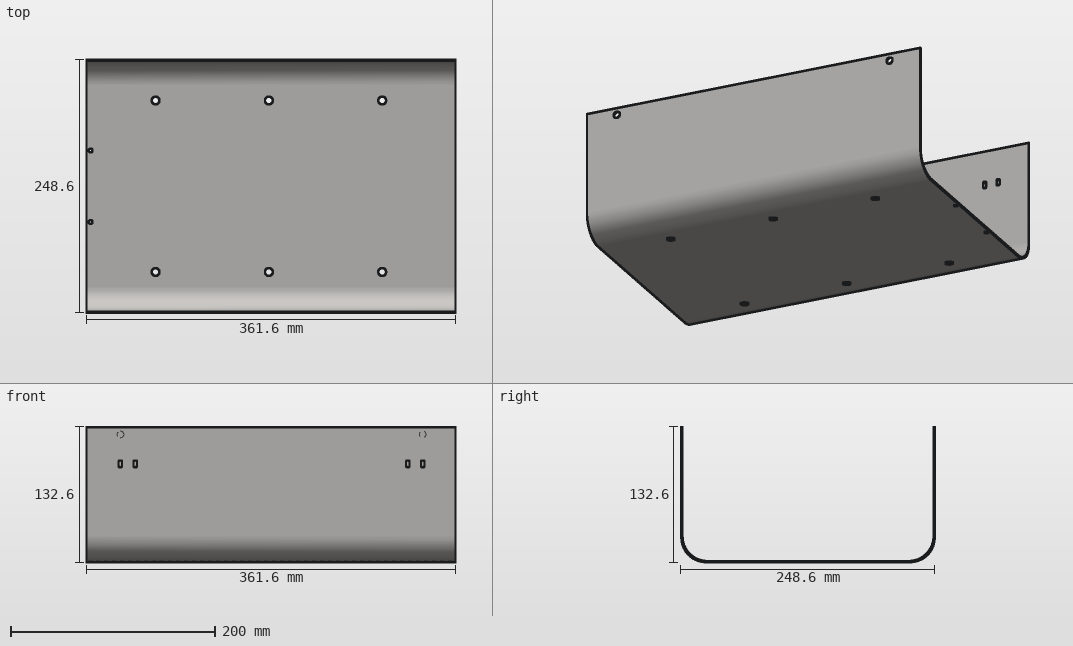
import cadquery as cq

length = 361.6
width = 248.6
height = 132.55
thickness = 1.5
bend_radius = 25.0
inner_bend_radius = bend_radius - thickness

floor_hole_diameter = 7.5
floor_hole_pitch = 111.0
floor_hole_row_spacing = 168.0
floor_middle_hole_x = -2.1

edge_hole_diameter = 3.5
edge_hole_inset = 4.0
edge_hole_spacing = 70.0

wall_pattern_middle_x = 0.5

slot_width = 3.5
slot_height = 7.0
slot_pair_spacing = 281.7
slot_spacing_in_pair = 14.5
slot_depth_from_top = 36.0

wall_hole_diameter = 6.5
wall_hole_spacing = 296.0
wall_hole_depth_from_top = 7.2


def bent_block(block_width, block_bottom, corner_radius):
    """Full-length block with its two lower long edges rounded."""
    block = cq.Workplane("XY").box(
        length, block_width, height - block_bottom, centered=(True, True, False)
    )
    return block.faces("<Z").edges("|X").fillet(corner_radius).translate((0, 0, block_bottom))


def trough():
    """U-shaped channel, open at the top and at both ends."""
    outside = bent_block(width, 0, bend_radius)
    inside = bent_block(width - 2 * thickness, thickness, inner_bend_radius)
    return outside.cut(inside)


def floor_cutters(points, diameter):
    """Vertical cylinders through the floor."""
    return cq.Workplane("XY").pushPoints(points).circle(diameter / 2).extrude(thickness)


def wall_plane(y):
    """XZ sketch plane at the given Y; its normal points to -Y."""
    return cq.Workplane("XZ", origin=(0, y, 0))


def floor_holes():
    rows = (-floor_hole_row_spacing / 2, floor_hole_row_spacing / 2)
    points = [(floor_middle_hole_x + i * floor_hole_pitch, y) for i in (-1, 0, 1) for y in rows]
    return floor_cutters(points, floor_hole_diameter)


def edge_holes():
    x = -length / 2 + edge_hole_inset
    points = [(x, side * edge_hole_spacing / 2) for side in (-1, 1)]
    return floor_cutters(points, edge_hole_diameter)


def wall_slots():
    z = height - slot_depth_from_top
    points = [
        (wall_pattern_middle_x + pair * slot_pair_spacing / 2 + side * slot_spacing_in_pair / 2, z)
        for pair in (-1, 1)
        for side in (-1, 1)
    ]
    upright = 90
    plane = wall_plane(-width / 2 + thickness)
    return plane.pushPoints(points).slot2D(slot_height, slot_width, upright).extrude(thickness)


def wall_holes():
    z = height - wall_hole_depth_from_top
    points = [(wall_pattern_middle_x + side * wall_hole_spacing / 2, z) for side in (-1, 1)]
    plane = wall_plane(width / 2)
    return plane.pushPoints(points).circle(wall_hole_diameter / 2).extrude(thickness)


result = trough().cut(floor_holes()).cut(edge_holes()).cut(wall_slots()).cut(wall_holes())